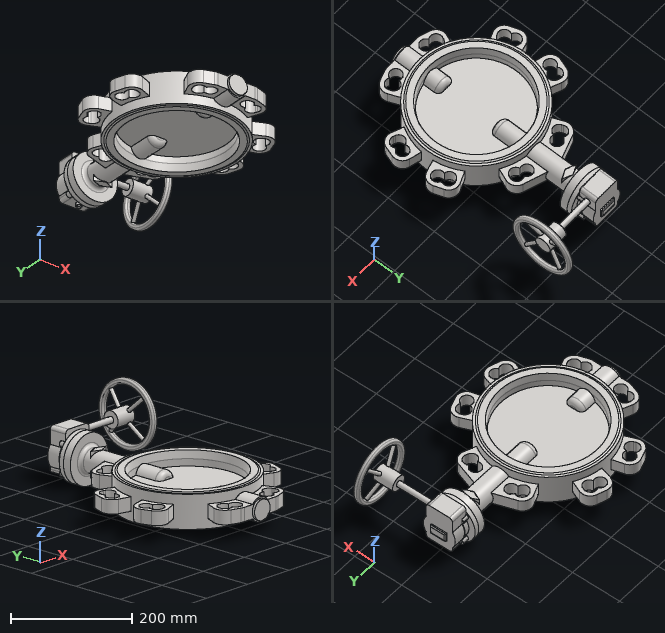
import cadquery as cq
import math

RING_R = 125.0
RING_HALF_H = 30.5
SEAT_R = 120.0
SEAT_TOP_R = 116.5
SEAT_HALF_H = 32.0
BORE_R = 100.5
BORE_MOUTH_R = 103.5
BORE_CONE_Z = 18.0
DISC_HALF_T = 5.0

ROOT_DEPTH = 5.0

STEM_R = 20.0
STEM_ROUND = 10.5
UPPER_STEM_END = 45.0
LOWER_STEM_END = -65.0

LUG_T = 25.5
LUG_HALF_T = LUG_T / 2
LUG_MARGIN = 20.5
LUG_ROOT = 39.5
BOLT_CIRCLE_R = 147.0
SLOT_INNER_R = 143.0
HOLE_R = 12.0
HOLE_ANGLE = 15.0
SLOT_ANGLE = 22.5

NECK_R = 22.0
NECK_ROUND = 7.0
FLANGE_R = 46.0
FLANGE_START = 221.0
FLANGE_END = 236.5
CAP_R = 19.0
CAP_END = -167.5

PAD_Y = 201.0
PAD_HALF_W = 19.0
PAD_HALF_L = 8.5
PAD_HALF_H = 23.0

GEAR_FLANGE_END = 246.0
GEAR_BOX_START = 247.8
GEAR_BOX_END = 283.0
GEAR_BOX_HALF_W = 28.0
GEAR_BOX_TOP = 51.5
GEAR_BOX_BOTTOM = -30.5
GEAR_BOX_ROUND = 7.0
DRUM_R = 34.0
DRUM_START = 257.0
DRUM_FOOT_R = 32.5
BOLT_R = 6.0
BOLT_OFFSET = 26.0
BOLT_END = 258.5
INDICATOR_W = 32.5
INDICATOR_T = 19.0
INDICATOR_H = 4.5
INDICATOR_BEVEL = 2.0
PLUG_R = 5.5
PLUG_BOTTOM = -35.5
PLUG_TIP_R = 3.5
PLUG_TIP_BOTTOM = -38.5

WHEEL_Y = 265.5
WHEEL_R = 62.5
WHEEL_TOP = 96.5
WHEEL_Z = WHEEL_TOP - WHEEL_R
RIM_SIZE = 11.5
RIM_ROUND = 3.5
RIM_MIDDLE_R = WHEEL_R - RIM_SIZE / 2
RIM_X = 141.5
HUB_R = 16.0
HUB_START = 100.5
HAND_SHAFT_R = 6.0
SPOKE_R = 4.0
SPOKE_START_X = 129.0
SPOKE_COUNT = 4
SPOKE_FIRST_ANGLE = 45.0


def y_cylinder(radius, y_start, y_end, x=0, z=0):
    """Cylinder along Y from y_start to y_end."""
    length = y_end - y_start
    return cq.Workplane("XZ", origin=(x, y_start, z)).circle(radius).extrude(-length)


def x_cylinder(radius, x_start, x_end):
    """Cylinder along X on the handwheel axis."""
    plane = cq.Workplane("YZ", origin=(x_start, WHEEL_Y, WHEEL_Z))
    return plane.circle(radius).extrude(x_end - x_start)


def polar(radius, angle):
    """Point at an angle in degrees from +X."""
    return cq.Vector(radius * math.cos(math.radians(angle)), radius * math.sin(math.radians(angle)))


def xy(point):
    """Plan coordinates of a point."""
    return point.x, point.y


def make_ring():
    """Ring with a raised seat on both faces, closed by the disc across its bore."""
    upper_half = [
        (0, 0),
        (RING_R, 0),
        (RING_R, RING_HALF_H),
        (SEAT_R, RING_HALF_H),
        (SEAT_TOP_R, SEAT_HALF_H),
        (BORE_MOUTH_R, SEAT_HALF_H),
        (BORE_R, BORE_CONE_Z),
        (BORE_R, DISC_HALF_T),
        (0, DISC_HALF_T),
    ]
    half = cq.Workplane("XZ").polyline(upper_half).close().revolve(360, (0, 0), (0, 1))
    return half.union(half.mirror("XY"))


def make_stems():
    """Round-ended bosses that carry the disc, reaching in from the ring."""
    stem_root = BORE_MOUTH_R + ROOT_DEPTH
    upper = y_cylinder(STEM_R, UPPER_STEM_END, stem_root).faces("<Y").edges().fillet(STEM_ROUND)
    lower = y_cylinder(STEM_R, -stem_root, LOWER_STEM_END).faces(">Y").edges().fillet(STEM_ROUND)
    return upper.union(lower)


def lug_holes():
    """Round hole centre, then outer and inner slot centres, for the lug beside +X."""
    hole = polar(BOLT_CIRCLE_R, HOLE_ANGLE)
    slot_outer = polar(BOLT_CIRCLE_R, SLOT_ANGLE)
    slot_inner = polar(SLOT_INNER_R, SLOT_ANGLE)
    return hole, slot_outer, slot_inner


def cut_lug_holes(lug):
    """Cut the round hole and the radial slot, which run into each other."""
    hole, slot_outer, slot_inner = lug_holes()
    slot_middle = (slot_outer + slot_inner) * 0.5
    slot_length = BOLT_CIRCLE_R - SLOT_INNER_R + 2 * HOLE_R
    drill = cq.Workplane("XY").center(*xy(hole)).circle(HOLE_R).extrude(LUG_HALF_T, both=True)
    slot = cq.Workplane("XY").center(*xy(slot_middle)).slot2D(slot_length, 2 * HOLE_R, SLOT_ANGLE)
    return lug.cut(drill).cut(slot.extrude(LUG_HALF_T, both=True))


def make_lug(hole_side):
    """Lug beside +X, rounded about its slot.

    hole_side sets the edge beyond the round hole: "round" turns back to the ring, "straight"
    runs on to the X axis and "square" turns to meet the X axis at a right angle.
    """
    hole, slot, _ = lug_holes()
    along = (slot - hole).normalized()
    outward = cq.Vector(along.y, -along.x)
    hole_radial = polar(1, HOLE_ANGLE)
    slot_radial = polar(1, SLOT_ANGLE)
    hole_tangent = polar(1, HOLE_ANGLE - 90)
    slot_tangent = polar(1, SLOT_ANGLE + 90)

    hole_face = hole + outward * LUG_MARGIN
    slot_face = slot + outward * LUG_MARGIN
    slot_corner = slot + (outward + slot_tangent).normalized() * LUG_MARGIN
    slot_edge = slot + slot_tangent * LUG_MARGIN
    slot_root = slot_edge - slot_radial * LUG_ROOT

    if hole_side == "straight":
        axis_point = hole_face - along * (hole_face.y / along.y)
        outline = cq.Workplane("XY").moveTo(BOLT_CIRCLE_R - LUG_ROOT, 0).lineTo(*xy(axis_point))
    else:
        if hole_side == "round":
            edge_direction = hole_tangent
            start = hole + hole_tangent * LUG_MARGIN - hole_radial * LUG_ROOT
            outline = cq.Workplane("XY").moveTo(*xy(start))
        else:
            edge_direction = cq.Vector(1, 0)
            outline = cq.Workplane("XY").moveTo(BOLT_CIRCLE_R - LUG_ROOT, 0)
            outline = outline.lineTo(hole.x + LUG_MARGIN, 0)
        hole_edge = hole + edge_direction * LUG_MARGIN
        hole_corner = hole + (edge_direction + outward).normalized() * LUG_MARGIN
        outline = outline.lineTo(*xy(hole_edge)).threePointArc(xy(hole_corner), xy(hole_face))

    outline = outline.lineTo(*xy(slot_face)).threePointArc(xy(slot_corner), xy(slot_edge))
    plate = outline.lineTo(*xy(slot_root)).close().extrude(LUG_HALF_T, both=True)
    return cut_lug_holes(plate)


def make_lugs():
    """Eight lugs: a mirrored pair at each end of the X and Y axes."""
    lugs = []
    for end_angle, hole_side in ((0, "round"), (90, "straight"), (180, "round"), (270, "square")):
        lug = make_lug(hole_side)
        for half in (lug, lug.mirror("XZ")):
            lugs.append(half.rotate((0, 0, 0), (0, 0, 1), end_angle))
    return lugs


def make_neck():
    """Neck from the ring to the mounting flange, flared where they meet."""
    profile = (
        cq.Workplane("XY")
        .moveTo(0, BORE_MOUTH_R + ROOT_DEPTH)
        .lineTo(NECK_R, BORE_MOUTH_R + ROOT_DEPTH)
        .lineTo(NECK_R, FLANGE_START - NECK_ROUND)
        .radiusArc((NECK_R + NECK_ROUND, FLANGE_START), NECK_ROUND)
        .lineTo(FLANGE_R, FLANGE_START)
        .lineTo(FLANGE_R, FLANGE_END)
        .lineTo(0, FLANGE_END)
        .close()
    )
    return profile.revolve(360, (0, 0), (0, 1))


def make_neck_pads():
    """Diamond prism through the neck that stands out as a flat pad on its +Z and -Z sides."""
    corners = [(PAD_HALF_W, 0), (0, PAD_HALF_L), (-PAD_HALF_W, 0), (0, -PAD_HALF_L)]
    diamond = cq.Workplane("XY", origin=(0, PAD_Y, 0)).polyline(corners).close()
    return diamond.extrude(PAD_HALF_H, both=True)


def make_bottom_boss():
    """Boss level with the ends of the bottom lugs, closed by a smaller cap."""
    boss_end = -(BOLT_CIRCLE_R * math.cos(math.radians(HOLE_ANGLE)) + LUG_MARGIN)
    boss = y_cylinder(NECK_R, boss_end, -BORE_MOUTH_R - ROOT_DEPTH)
    return boss.union(y_cylinder(CAP_R, CAP_END, boss_end))


def make_valve():
    """Ring and disc, neck, bottom boss and lugs as one solid."""
    valve = make_ring().union(make_stems()).union(make_neck()).union(make_bottom_boss())
    valve = valve.union(make_neck_pads())
    for lug in make_lugs():
        valve = valve.union(lug)
    return valve


def make_gear_case():
    """Box crossed by a drum along Y, on a flange that matches the valve's."""
    box_middle_z = (GEAR_BOX_TOP + GEAR_BOX_BOTTOM) / 2
    box = (
        cq.Workplane("XZ", origin=(0, GEAR_BOX_START, box_middle_z))
        .rect(2 * GEAR_BOX_HALF_W, GEAR_BOX_TOP - GEAR_BOX_BOTTOM)
        .extrude(GEAR_BOX_START - GEAR_BOX_END)
        .edges("|Y")
        .fillet(GEAR_BOX_ROUND)
    )
    drum = y_cylinder(DRUM_R, DRUM_START, GEAR_BOX_END)
    below_box = cq.Workplane("XY", origin=(0, WHEEL_Y, GEAR_BOX_BOTTOM)).rect(2 * DRUM_R, 2 * DRUM_R)
    drum = drum.cut(below_box.extrude(GEAR_BOX_BOTTOM))
    foot = y_cylinder(DRUM_FOOT_R, GEAR_FLANGE_END, DRUM_START)
    flange = y_cylinder(FLANGE_R, FLANGE_END, GEAR_FLANGE_END)
    return flange.union(foot).union(drum).union(box)


def make_bolt_heads():
    """Four bolt heads on the gear flange."""
    corners = [(x, z) for x in (-BOLT_OFFSET, BOLT_OFFSET) for z in (-BOLT_OFFSET, BOLT_OFFSET)]
    return [y_cylinder(BOLT_R, GEAR_FLANGE_END, BOLT_END, x, z) for x, z in corners]


def make_indicator():
    """Bevelled bar on the back of the gear case."""
    bar = cq.Workplane("XZ", origin=(0, GEAR_BOX_END, 0)).rect(INDICATOR_W, INDICATOR_T)
    return bar.extrude(-INDICATOR_H).faces(">Y").edges().chamfer(INDICATOR_BEVEL)


def make_plug():
    """Stepped plug under the gear case."""
    seat = cq.Workplane("XY", origin=(0, WHEEL_Y, 0))
    return seat.circle(PLUG_R).extrude(PLUG_BOTTOM).union(seat.circle(PLUG_TIP_R).extrude(PLUG_TIP_BOTTOM))


def make_spoke(angle):
    """Round spoke leaning from the hub out to the middle of the rim."""
    start = cq.Vector(SPOKE_START_X, WHEEL_Y, WHEEL_Z)
    lean = cq.Vector(RIM_X - SPOKE_START_X, 0, RIM_MIDDLE_R)
    spoke = cq.Workplane(cq.Plane(start, (0, 1, 0), lean)).circle(SPOKE_R).extrude(lean.Length)
    return spoke.rotate(start.toTuple(), (start + cq.Vector(5, 0, 0)).toTuple(), angle)


def make_handwheel():
    """Rim, spokes and hub, with the shaft that drives the gear case."""
    rim = (
        cq.Workplane("XY", origin=(RIM_X, WHEEL_Y + RIM_MIDDLE_R, WHEEL_Z))
        .rect(RIM_SIZE, RIM_SIZE)
        .revolve(360, (0, -RIM_MIDDLE_R), (1, -RIM_MIDDLE_R))
        .edges()
        .fillet(RIM_ROUND)
    )
    wheel = rim.union(x_cylinder(HUB_R, HUB_START, RIM_X)).union(x_cylinder(HAND_SHAFT_R, 0, HUB_START))
    for index in range(SPOKE_COUNT):
        wheel = wheel.union(make_spoke(SPOKE_FIRST_ANGLE + index * 360 / SPOKE_COUNT))
    return wheel


def make_gear_operator():
    """Gear case, its fittings and the handwheel as one solid."""
    operator = make_gear_case().union(make_indicator()).union(make_plug()).union(make_handwheel())
    for head in make_bolt_heads():
        operator = operator.union(head)
    return operator


valve = make_valve()
gear_operator = make_gear_operator()
result = cq.Compound.makeCompound([valve.solids().val(), gear_operator.solids().val()])